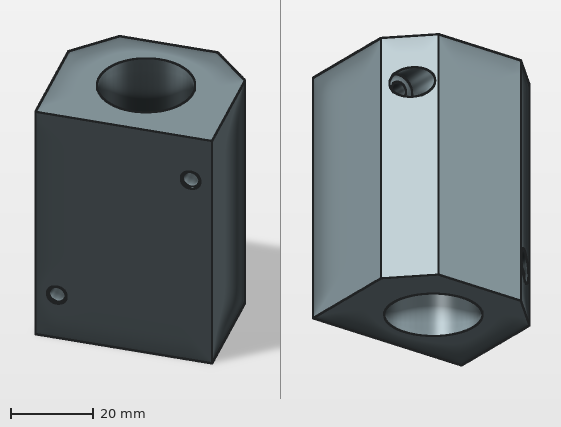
import cadquery as cq

width = 45.0
depth = 38.0
height = 65.0
corner_cut = 10.0

bore_diameter = 24.0
bore_from_front = 19.0

screw_offset_x = 17.0
screw_offset_z = 20.0
screw_diameter = 4.2
mouth_diameter = 5.0
head_diameter = 8.0
head_depth = 10.0

front_y = -depth / 2
back_y = depth / 2
mouth_depth = (mouth_diameter - screw_diameter) / 2


def make_block():
    """Block with both rear vertical corners cut at 45 degrees."""
    block = cq.Workplane("XY").box(width, depth, height)
    return block.edges("|Z and >Y").chamfer(corner_cut)


def make_bore():
    """Cylinder for the bore through the full height."""
    return (
        cq.Workplane("XY", origin=(0, front_y + bore_from_front, -height / 2))
        .circle(bore_diameter / 2)
        .extrude(height)
    )


def make_screw_hole(x, z):
    """Through hole with a chamfered front mouth and a screw head pocket at the back."""
    front = cq.Vector(x, front_y, z)
    toward_back = cq.Vector(0, 1, 0)
    shank = cq.Solid.makeCylinder(screw_diameter / 2, depth, front, toward_back)
    mouth = cq.Solid.makeCone(
        mouth_diameter / 2, screw_diameter / 2, mouth_depth, front, toward_back
    )
    head_floor = cq.Vector(x, back_y - head_depth, z)
    head = cq.Solid.makeCylinder(head_diameter / 2, head_depth, head_floor, toward_back)
    return cq.Workplane(shank).union(cq.Workplane(mouth)).union(cq.Workplane(head))


result = make_block().cut(make_bore())
for side in (-1, 1):
    result = result.cut(make_screw_hole(side * screw_offset_x, side * screw_offset_z))